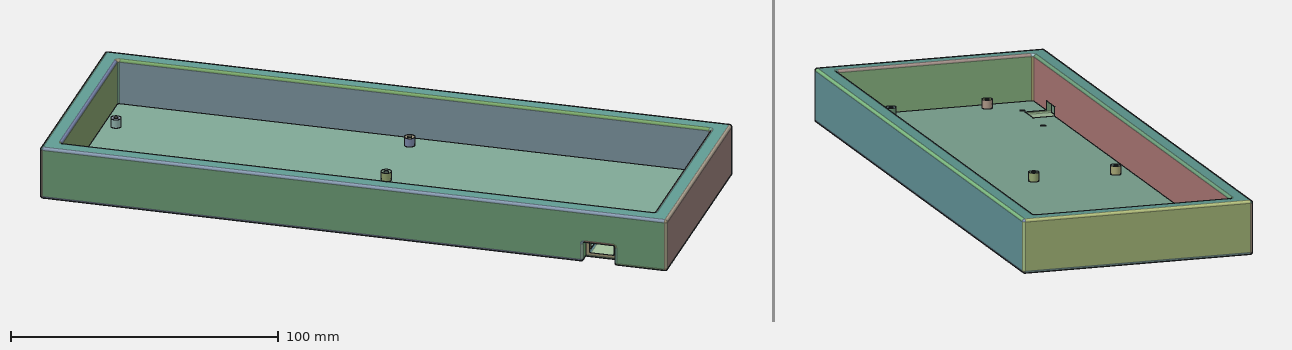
import cadquery as cq

length = 243.0
width = 90.6
height = 21.0
wall = 6.5
floor_thickness = 3.0
edge_radius = 1.0
cavity_corner_radius = 0.7

post_diameter = 4.0
post_bore = 1.5
post_height = 3.5
middle_post_pitch = 32.3
end_post_x = 110.0
end_post_y = 19.0

floor_hole_diameter = 2.0
floor_hole_x = (78.0, 102.0)
floor_hole_y = -30.1

port_x = 95.0
recess_width = 12.2
recess_top = 7.8
recess_depth = 4.5
recess_radius = 0.5
port_width = 9.5
port_floor = 2.0
port_top = 6.5
port_end_y = -30.4
port_radius = 0.5

front_y = -width / 2
inner_length = length - 2 * wall
inner_width = width - 2 * wall


def box_between(x_size, x_centre, y_range, z_range):
    """Box centred on x_centre that spans the given Y and Z ranges."""
    (y_start, y_end), (z_start, z_end) = y_range, z_range
    base = cq.Workplane("XY", origin=(x_centre, y_start, z_start))
    return base.box(x_size, y_end - y_start, z_end - z_start, centered=(True, False, False))


def make_shell():
    """Block with a connector recess in its front, all outer edges and the recess mouth rounded."""
    block = cq.Workplane("XY").box(length, width, height, centered=(True, True, False))
    recess = box_between(recess_width, port_x, (front_y, front_y + recess_depth), (0, recess_top))
    recess = recess.edges(">Z and |Y").fillet(recess_radius)
    outer_faces = block.cut(recess).faces("<X or >X or <Y or >Y or <Z or >Z")
    return outer_faces.edges().fillet(edge_radius)


def hollow_out(body):
    """Rectangular cavity with rounded corners and a rounded rim."""
    cavity = box_between(inner_length, 0, (-inner_width / 2, inner_width / 2), (floor_thickness, height))
    cavity = cavity.edges("|Z").fillet(cavity_corner_radius)
    body = body.cut(cavity)
    rim_x = length / 2 - wall / 2
    rim_y = width / 2 - wall / 2
    rim_margin = edge_radius / 2
    rim = cq.selectors.BoxSelector(
        (-rim_x, -rim_y, height - rim_margin),
        (rim_x, rim_y, height + rim_margin),
    )
    return body.edges(rim).fillet(edge_radius)


def cut_port(body):
    """Port through the recess back, continued as a shallow slot in the floor."""
    port = box_between(port_width, port_x, (front_y, -inner_width / 2), (port_floor, port_top))
    slot = box_between(port_width, port_x, (front_y, port_end_y), (port_floor, floor_thickness))
    opening = port.union(slot).edges("<Z and |Y").fillet(port_radius)
    return body.cut(opening)


def add_posts(body):
    """Bored posts: three on the centre line and two near each end."""
    spots = [(0, row * middle_post_pitch) for row in (-1, 0, 1)]
    spots += [(x_side * end_post_x, y_side * end_post_y) for x_side in (-1, 1) for y_side in (-1, 1)]
    floor = cq.Workplane("XY", origin=(0, 0, floor_thickness)).pushPoints(spots)
    posts = floor.circle(post_diameter / 2).extrude(post_height)
    bores = floor.circle(post_bore / 2).extrude(post_height)
    return body.union(posts).cut(bores)


def drill_floor_holes(body):
    """Two pairs of through holes, mirrored about the middle of the length."""
    spots = [(side * x, floor_hole_y) for side in (-1, 1) for x in floor_hole_x]
    holes = cq.Workplane("XY").pushPoints(spots).circle(floor_hole_diameter / 2).extrude(floor_thickness)
    return body.cut(holes)


result = make_shell()
result = hollow_out(result)
result = cut_port(result)
result = add_posts(result)
result = drill_floor_holes(result)